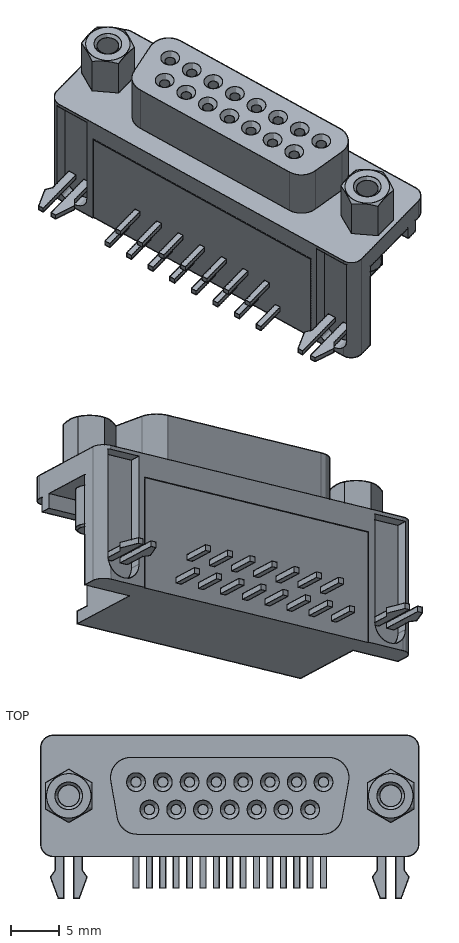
import cadquery as cq
import math

overall_width = 39.14
overall_depth = 16.88
overall_height = 20.8

flange_depth = 12.56
flange_bottom = 12.24
flange_top = 14.83
flange_radius = 1.33
column_depth = 2.87
front_y = -flange_depth / 2
back_y = flange_depth / 2
lock_tip_y = back_y - overall_depth

housing_width = 27.92
housing_back_y = 4.47
panel_recess = 0.12
foot_height = 1.41
rib_thickness = 1.29
rib_bottom = 10.6

shell_width = 24.66
shell_depth = 7.95
shell_radius = 2.1
shell_angle = 10.0

contact_pitch = 2.77
row_spacing = 2.84
long_row_count = 8
short_row_count = 7
socket_mouth_diameter = 1.94
socket_bore_diameter = 1.06
socket_cone_depth = 0.5
socket_depth = 5.0
pin_size = 0.63
pin_tip_y = -9.53
long_row_pin_z = 1.71
short_row_pin_z = long_row_pin_z + row_spacing

screw_spacing = 33.3
hex_across_flats = 4.77
hex_top = 19.65
hex_chamfer_drop = 0.25
hex_face_diameter = 4.6
jack_bore_diameter = 2.24
jack_mouth_diameter = 2.85
jack_mouth_chamfer = (jack_mouth_diameter - jack_bore_diameter) / 2
jack_bore_depth = 4.5
shank_diameter = 2.92
shank_bottom = 7.75
shank_chamfer = 0.22

slot_width = 3.82
slot_depth = 1.4
slot_bottom = 0.5
slot_top = 14.4
lock_thickness = 0.62
lock_z = 3.01
prong_inner = 0.5
prong_outer = 1.41
barb_outer = 1.9
tip_outer = 1.09
barb_start_y = -7.7
barb_peak_y = -8.4


def box(x_range, y_range, z_range):
    """Axis-aligned block between pairs of limits."""
    size = [high - low for low, high in (x_range, y_range, z_range)]
    corner = (x_range[0], y_range[0], z_range[0])
    return cq.Workplane("XY").box(*size, centered=False).translate(corner)


def make_flange():
    """Rounded flange with full-height columns along its front edge at both ends."""
    outline = cq.Workplane("XY").rect(overall_width, flange_depth).extrude(flange_top)
    outline = outline.edges("|Z").fillet(flange_radius)
    under_flange = box(
        (-overall_width / 2, overall_width / 2),
        (front_y + column_depth, back_y),
        (0, flange_bottom),
    )
    panel_opening = box(
        (-housing_width / 2, housing_width / 2),
        (front_y, back_y),
        (0, flange_bottom),
    )
    return outline.cut(under_flange).cut(panel_opening)


def make_housing():
    """Contact housing with a foot at the back and a rib under the flange."""
    half = housing_width / 2
    block = box((-half, half), (front_y + panel_recess, housing_back_y), (0, flange_bottom))
    foot = box((-half, half), (0, back_y), (0, foot_height))
    rib = box(
        (-overall_width / 2, overall_width / 2),
        (housing_back_y - rib_thickness, housing_back_y),
        (rib_bottom, flange_bottom),
    )
    return block.union(foot).union(rib)


def make_shell():
    """Trapezoid with rounded corners, wide side at +Y."""
    slant = math.radians(shell_angle)
    corner_drop = shell_depth / 2 - shell_radius
    side_at_arc = shell_width / 2 - shell_radius + shell_radius / math.cos(slant)
    half_top = side_at_arc + shell_radius * math.tan(slant)
    half_bottom = side_at_arc - (corner_drop + shell_depth / 2) * math.tan(slant)
    corners = [
        (-half_top, shell_depth / 2),
        (half_top, shell_depth / 2),
        (half_bottom, -shell_depth / 2),
        (-half_bottom, -shell_depth / 2),
    ]
    shell = cq.Workplane("XY").workplane(offset=flange_bottom).polyline(corners).close()
    shell = shell.extrude(overall_height - flange_bottom)
    return shell.edges("|Z").fillet(shell_radius)


def row_positions(count):
    """X positions of one row of contacts, centred on X = 0."""
    return [(i - (count - 1) / 2) * contact_pitch for i in range(count)]


def make_socket(x, y):
    """Socket cutter: conical mouth above a blind bore."""
    mouth = socket_mouth_diameter / 2
    bore = socket_bore_diameter / 2
    profile = [
        (0, 0),
        (mouth, 0),
        (bore, -socket_cone_depth),
        (bore, -socket_depth),
        (0, -socket_depth),
    ]
    cutter = cq.Workplane("XZ").polyline(profile).close().revolve(360, (0, 0), (0, 1))
    return cutter.translate((x, y, overall_height))


def make_pin(x, z):
    """Square solder pin leaving the front panel."""
    half = pin_size / 2
    return box((x - half, x + half), (pin_tip_y, 0), (z - half, z + half))


def make_jack_screw():
    """Hex jack screw on the Z axis, with its shank below the flange."""
    hex_diameter = hex_across_flats / math.cos(math.pi / 6)
    hex_height = hex_top - flange_top
    head = cq.Workplane("XY").polygon(6, hex_diameter).extrude(hex_height)
    head = head.rotate((0, 0, 0), (0, 0, 1), 30)
    chamfer_profile = [
        (0, 0),
        (hex_diameter / 2, 0),
        (hex_diameter / 2, hex_height - hex_chamfer_drop),
        (hex_face_diameter / 2, hex_height),
        (0, hex_height),
    ]
    envelope = cq.Workplane("XZ").polyline(chamfer_profile).close().revolve(360, (0, 0), (0, 1))
    head = head.intersect(envelope).translate((0, 0, flange_top))
    shank = cq.Workplane("XY").workplane(offset=shank_bottom).circle(shank_diameter / 2)
    shank = shank.extrude(flange_top - shank_bottom).faces("<Z").chamfer(shank_chamfer)
    bore = cq.Workplane("XY").workplane(offset=hex_top).circle(jack_bore_diameter / 2)
    bore = bore.extrude(-jack_bore_depth)
    mouth = cq.Workplane("XY").workplane(offset=hex_top).circle(jack_mouth_diameter / 2)
    mouth = mouth.extrude(-jack_mouth_chamfer, taper=45)
    return head.union(shank).cut(bore).cut(mouth)


def make_slot():
    """Board lock slot cutter: flat top, round bottom, open at the front."""
    radius = slot_width / 2
    arc_z = slot_bottom + radius
    slot = cq.Workplane("XZ", origin=(0, front_y + slot_depth, 0))
    slot = slot.moveTo(-radius, slot_top).lineTo(-radius, arc_z)
    slot = slot.threePointArc((0, slot_bottom), (radius, arc_z)).lineTo(radius, slot_top).close()
    return slot.extrude(slot_depth)


def make_board_lock():
    """Pair of barbed prongs rooted in the back wall of the slot."""
    root_y = front_y + column_depth
    outline = [
        (prong_inner, root_y),
        (prong_outer, root_y),
        (prong_outer, barb_start_y),
        (barb_outer, barb_peak_y),
        (tip_outer, lock_tip_y),
        (prong_inner, lock_tip_y),
    ]
    prong = cq.Workplane("XY").workplane(offset=lock_z - lock_thickness / 2)
    prong = prong.polyline(outline).close().extrude(lock_thickness)
    return prong.union(prong.mirror("YZ"))


result = make_flange().union(make_housing()).union(make_shell())

contact_rows = [
    (long_row_count, row_spacing / 2, long_row_pin_z),
    (short_row_count, -row_spacing / 2, short_row_pin_z),
]
for count, socket_y, pin_z in contact_rows:
    for contact_x in row_positions(count):
        result = result.cut(make_socket(contact_x, socket_y))
        result = result.union(make_pin(contact_x, pin_z))

for screw_x in (-screw_spacing / 2, screw_spacing / 2):
    place = (screw_x, 0, 0)
    result = result.cut(make_slot().translate(place))
    result = result.union(make_board_lock().translate(place))
    result = result.union(make_jack_screw().translate(place))